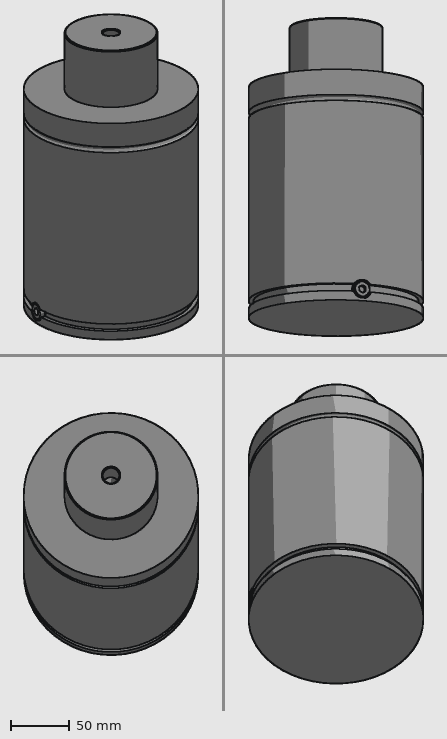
import cadquery as cq
import math

total_height = 255.0
body_diameter = 150.0
body_height = 202.2
body_radius = body_diameter / 2

rod_diameter = 80.0
rod_chamfer = 1.0

rod_hole_diameter = 14.0
rod_hole_mouth_diameter = 16.0
rod_hole_depth = 25.5
drill_point_angle = 118

base_groove_bottom = 8.2
base_groove_top = 14.8
base_groove_depth = 4.0

collar_groove_height = 177.5
collar_groove_radius = 2.5

plug_height = 10.5
plug_diameter = 13.0
plug_pocket_diameter = 16.0
plug_pocket_depth = 5.0
plug_recess = 0.3
plug_hole_diameter = 6.0
plug_hole_depth = 3.8


def make_body():
    """Revolve the cylinder outline, including both grooves."""
    groove_floor_radius = body_radius - base_groove_depth
    outline = (
        cq.Workplane("XZ")
        .lineTo(body_radius, 0)
        .lineTo(body_radius, base_groove_bottom)
        .lineTo(groove_floor_radius, base_groove_bottom)
        .lineTo(groove_floor_radius, base_groove_top)
        .lineTo(body_radius, base_groove_top)
        .lineTo(body_radius, collar_groove_height - collar_groove_radius)
        .threePointArc(
            (body_radius - collar_groove_radius, collar_groove_height),
            (body_radius, collar_groove_height + collar_groove_radius),
        )
        .lineTo(body_radius, body_height)
        .lineTo(0, body_height)
        .close()
    )
    return outline.revolve(360, (0, 0), (0, 1))


def make_rod():
    """Chamfered rod with a countersunk blind hole ending in a drill point."""
    rod = (
        cq.Workplane("XY", origin=(0, 0, body_height))
        .circle(rod_diameter / 2)
        .extrude(total_height - body_height)
        .faces(">Z")
        .chamfer(rod_chamfer)
    )
    hole_radius = rod_hole_diameter / 2
    mouth_radius = rod_hole_mouth_diameter / 2
    point_depth = hole_radius / math.tan(math.radians(drill_point_angle / 2))
    hole_bottom = total_height - rod_hole_depth
    hole = (
        cq.Workplane("XZ")
        .moveTo(0, hole_bottom - point_depth)
        .lineTo(hole_radius, hole_bottom)
        .lineTo(hole_radius, total_height - (mouth_radius - hole_radius))
        .lineTo(mouth_radius, total_height)
        .lineTo(0, total_height)
        .close()
        .revolve(360, (0, 0), (0, 1))
    )
    return rod.cut(hole)


def plug_plane(depth):
    """Plane facing -Y, at the given depth below the body surface."""
    return cq.Workplane("XZ", origin=(0, depth - body_radius, plug_height))


def make_plug():
    """Round plug standing on the pocket floor, with a blind hole in its face."""
    plug = plug_plane(plug_recess).circle(plug_diameter / 2).extrude(plug_recess - plug_pocket_depth)
    hole = plug_plane(plug_recess).circle(plug_hole_diameter / 2).extrude(-plug_hole_depth)
    return plug.cut(hole)


def make_plug_pocket():
    """Round pocket that leaves a ring-shaped gap around the plug."""
    return plug_plane(0).circle(plug_pocket_diameter / 2).extrude(-plug_pocket_depth)


result = make_body().union(make_rod()).cut(make_plug_pocket()).union(make_plug())